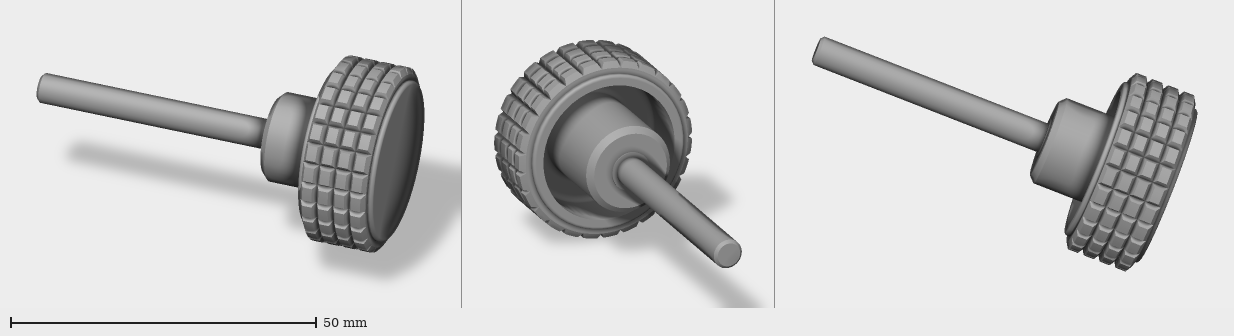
import cadquery as cq
import math

total_length = 62.0
head_width = 13.0
pin_exposed_length = 40.0
collar_height = 0.25
head_start = total_length - head_width
hub_start = pin_exposed_length + collar_height
hub_length = total_length - hub_start

pin_radius = 5.0 / 2
pin_chamfer = 0.5

hub_radius = 15.0 / 2
hub_chamfer = 1.0
collar_radius = 6.67 / 2

rim_radius = 27.0 / 2
rim_rounding = 0.5
bore_radius = 23.5 / 2
bore_depth = 9.25
bore_rounding = 1.0

band_radius = 31.0 / 2
band_inner_radius = (bore_radius + rim_radius) / 2
groove_depth = 1.0
groove_half_angle = 30.0
groove_slope = math.tan(math.radians(groove_half_angle))
row_count = 4
row_pitch = 2.8
band_width = row_count * row_pitch
band_start = head_start + (head_width - band_width) / 2
tooth_count = 27
full_turn = 360.0
cutter_overrun = 1.0


def cylinder(start, length, radius):
    """Solid cylinder on the X axis."""
    return cq.Workplane("YZ", origin=(start, 0, 0)).circle(radius).extrude(length)


def make_pin():
    return cylinder(0, total_length, pin_radius).faces("<X").chamfer(pin_chamfer)


def make_hub():
    hub = cylinder(hub_start, hub_length, hub_radius).faces("<X").chamfer(hub_chamfer)
    collar = cylinder(pin_exposed_length, hub_length, collar_radius)
    return hub.union(collar)


def make_head():
    """Rounded disc with an annular recess, filleted at its floor, around the hub."""
    disc = cylinder(head_start, head_width, rim_radius).edges().fillet(rim_rounding)
    core = cylinder(head_start, bore_depth, hub_radius)
    recess = cylinder(head_start, bore_depth, bore_radius).cut(core)
    recess = recess.faces(">X").edges().fillet(bore_rounding)
    return disc.cut(recess)


def groove_section(plane):
    """V-section pointing down at the band's root, symmetric about the plane's vertical axis."""
    root_radius = band_radius - groove_depth
    outer_radius = band_radius + cutter_overrun
    outer_half_width = (groove_depth + cutter_overrun) * groove_slope
    return plane.polyline(
        [
            (0, root_radius),
            (outer_half_width, outer_radius),
            (-outer_half_width, outer_radius),
        ]
    ).close()


def ring_groove(x):
    """Cutter for a V-groove running around the band at the given X."""
    section = groove_section(cq.Workplane("XY", origin=(x, 0, 0)))
    return section.revolve(full_turn, (0, 0, 0), (1, 0, 0))


def axial_groove(angle):
    """Cutter for a V-groove along the band, turned by the given angle from the -Y side."""
    section_plane = cq.Plane(origin=(band_start - cutter_overrun, 0, 0), xDir=(0, 0, 1), normal=(1, 0, 0))
    section = groove_section(cq.Workplane(section_plane))
    cutter = section.extrude(band_width + 2 * cutter_overrun)
    return cutter.rotate((0, 0, 0), (1, 0, 0), angle)


def make_band():
    """Ring of teeth with sloping flanks, left standing between the crossing V-grooves."""
    ring = cylinder(band_start, band_width, band_radius)
    ring = ring.cut(cylinder(band_start, band_width, band_inner_radius))
    for row in range(row_count + 1):
        ring = ring.cut(ring_groove(band_start + row * row_pitch))
    for tooth in range(tooth_count):
        ring = ring.cut(axial_groove(tooth * full_turn / tooth_count))
    return ring


result = make_head().union(make_band()).union(make_hub()).union(make_pin())